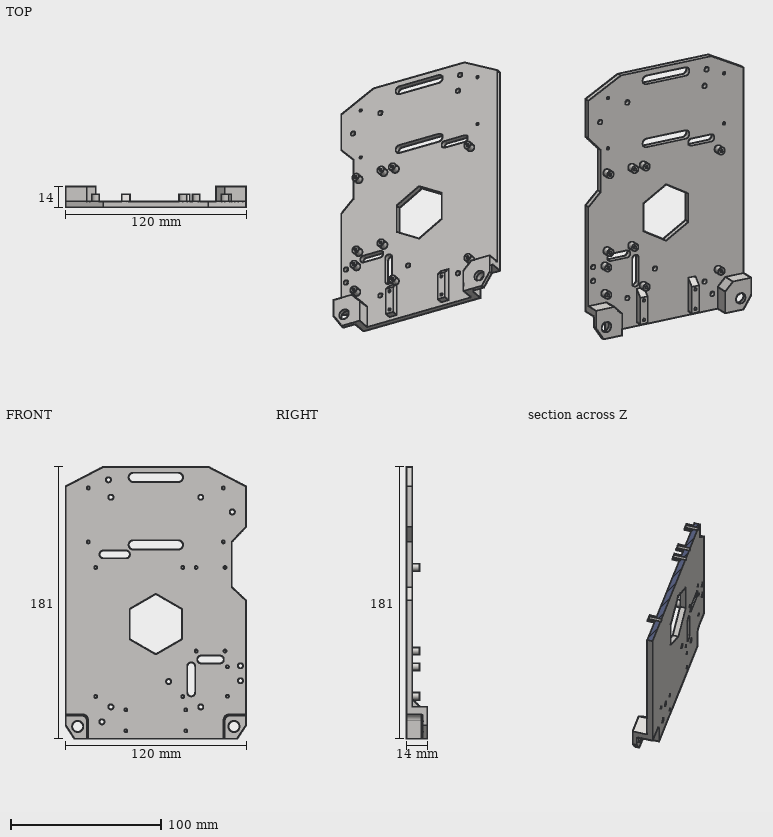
import cadquery as cq

WIDTH = 120.0
HEIGHT = 181.0
THICKNESS = 4.0
HALF_WIDTH = WIDTH / 2

TOP_EDGE_HALF = 35.0
SHOULDER_DROP = 13.0
BOTTOM_CUT_X = 6.0
BOTTOM_CUT_Z = 9.0
NOTCH_DEPTH = 9.5
NOTCH_OUTER_Z = (92.1, 141.0)
NOTCH_INNER_Z = (101.0, 131.0)

FOOT_DEPTH = 14.0
POCKET_WIDTH = 15.0
POCKET_HEIGHT = 16.5
POCKET_DEPTH = 11.0
POCKET_CORNER_RADIUS = 4.0
POCKET_FLOOR_CHAMFER = 1.0
POCKET_OVERCUT = 3.6
FOOT_WALL = 5.0
FOOT_WIDTH = POCKET_WIDTH + FOOT_WALL
FOOT_HEIGHT = POCKET_HEIGHT + FOOT_WALL
FOOT_CHAMFER = 6.0
FOOT_HOLE_DIAMETER = 7.2
FOOT_HOLE_X = 52.0
FOOT_HOLE_Z = 8.3

STANDOFF_DIAMETER = 5.0
STANDOFF_TOP = 8.9
RIB_X = 20.0
RIB_WIDTH = 5.6
RIB_BOTTOM = 2.7
RIB_TOP = 21.7

HEX_DIAMETER = 40.0
HEX_Z = 76.4

WIDE_SLOT = (36.0, 6.0)
SLOT_WIDTH = 5.0
SLOTS = [
    (0, 174.0, *WIDE_SLOT, 0),
    (0, 129.0, *WIDE_SLOT, 0),
    (-27.3, 122.7, 20.1, SLOT_WIDTH, 0),
    (36.4, 52.9, 17.5, SLOT_WIDTH, 0),
    (23.5, 39.6, 22.5, SLOT_WIDTH, 90),
]

SCREW_HOLE_DIAMETER = 3.3
SCREW_HOLES = [(x, z) for x in (-29.9, 29.9) for z in (21.4, 160.7)]
SCREW_HOLES += [(-31.5, 172.3), (50.9, 151.0), (56.3, 48.7), (56.3, 38.7), (8.5, 38.2), (-35.8, 11.4)]

PILOT_DIAMETER = 1.8
PLATE_PILOTS = [(x, z) for x in (-44.9, 44.9) for z in (131.0, 166.9)]
RIB_CENTRES = (-RIB_X, RIB_X)
RIB_PILOTS = [(x, z) for x in RIB_CENTRES for z in (5.5, 19.4)]
STANDOFFS = [(x, z) for x in (-40.0, 18.0) for z in (28.2, 114.0)]
STANDOFFS += [(x, z) for x in (26.8, 46.0) for z in (58.5, 114.0)]
STANDOFFS += [(47.6, z) for z in (28.5, 48.0)]


def front_plane():
    """Sketch plane on the front face with local x, y along world X, Z; extruding negative goes to +Y."""
    return cq.Workplane("XZ")


def make_plate():
    shoulder_z = HEIGHT - SHOULDER_DROP
    notch_x = HALF_WIDTH - NOTCH_DEPTH
    outline = [
        (-HALF_WIDTH, 0),
        (HALF_WIDTH, 0),
        (HALF_WIDTH, NOTCH_OUTER_Z[0]),
        (notch_x, NOTCH_INNER_Z[0]),
        (notch_x, NOTCH_INNER_Z[1]),
        (HALF_WIDTH, NOTCH_OUTER_Z[1]),
        (HALF_WIDTH, shoulder_z),
        (TOP_EDGE_HALF, HEIGHT),
        (-TOP_EDGE_HALF, HEIGHT),
        (-HALF_WIDTH, shoulder_z),
    ]
    return front_plane().polyline(outline).close().extrude(-THICKNESS)


def make_foot_pad():
    """Left pad, with its upper inner corner cut at 45 degrees behind the plate."""
    inner_x = FOOT_WIDTH - HALF_WIDTH
    outline = [
        (-HALF_WIDTH, 0),
        (inner_x, 0),
        (inner_x, FOOT_HEIGHT - FOOT_CHAMFER),
        (inner_x - FOOT_CHAMFER, FOOT_HEIGHT),
        (-HALF_WIDTH, FOOT_HEIGHT),
    ]
    return front_plane().polyline(outline).close().extrude(-FOOT_DEPTH)


def make_foot_pocket():
    """Left pocket cutter, running past the open outer and bottom sides."""
    cutter = cq.Workplane("XY").box(
        POCKET_WIDTH + POCKET_OVERCUT, POCKET_DEPTH, POCKET_HEIGHT + POCKET_OVERCUT, centered=False
    )
    cutter = cutter.translate((-HALF_WIDTH - POCKET_OVERCUT, 0, -POCKET_OVERCUT))
    cutter = cutter.edges("|Y and >X and >Z").fillet(POCKET_CORNER_RADIUS)
    return cutter.faces(">Y").chamfer(POCKET_FLOOR_CHAMFER)


def make_corner_cut():
    """Triangular prism that slopes off the lower left corner through the full depth."""
    outline = [(-HALF_WIDTH, 0), (BOTTOM_CUT_X - HALF_WIDTH, 0), (-HALF_WIDTH, BOTTOM_CUT_Z)]
    return front_plane().polyline(outline).close().extrude(-FOOT_DEPTH)


def make_rib(x):
    """Upright rib behind the plate whose top slopes up to the plate at 45 degrees."""
    slope_top = RIB_TOP + STANDOFF_TOP - THICKNESS
    profile = [
        (0, RIB_BOTTOM),
        (STANDOFF_TOP, RIB_BOTTOM),
        (STANDOFF_TOP, RIB_TOP),
        (THICKNESS, slope_top),
        (0, slope_top),
    ]
    rib = cq.Workplane("YZ").polyline(profile).close().extrude(RIB_WIDTH / 2, both=True)
    return rib.translate((x, 0, 0))


def make_cylinders(centres, diameter, depth=FOOT_DEPTH):
    """Cylinders along +Y from the front face; the default depth passes through the whole part."""
    return front_plane().pushPoints(centres).circle(diameter / 2).extrude(-depth)


body = make_plate()
body = body.union(make_cylinders(STANDOFFS, STANDOFF_DIAMETER, STANDOFF_TOP))
for rib_x in RIB_CENTRES:
    body = body.union(make_rib(rib_x))

foot_pad = make_foot_pad()
foot_cut = make_foot_pocket().union(make_corner_cut())
body = body.union(foot_pad).union(foot_pad.mirror("YZ"))
body = body.cut(foot_cut).cut(foot_cut.mirror("YZ"))

hexagon = front_plane().center(0, HEX_Z).transformed(rotate=(0, 0, 90)).polygon(6, HEX_DIAMETER)
body = body.cut(hexagon.extrude(-THICKNESS))
for x, z, length, width, angle in SLOTS:
    body = body.cut(front_plane().center(x, z).slot2D(length, width, angle).extrude(-THICKNESS))

foot_holes = [(x, FOOT_HOLE_Z) for x in (-FOOT_HOLE_X, FOOT_HOLE_X)]
body = body.cut(make_cylinders(SCREW_HOLES, SCREW_HOLE_DIAMETER))
body = body.cut(make_cylinders(PLATE_PILOTS + RIB_PILOTS + STANDOFFS, PILOT_DIAMETER))
body = body.cut(make_cylinders(foot_holes, FOOT_HOLE_DIAMETER))

result = body